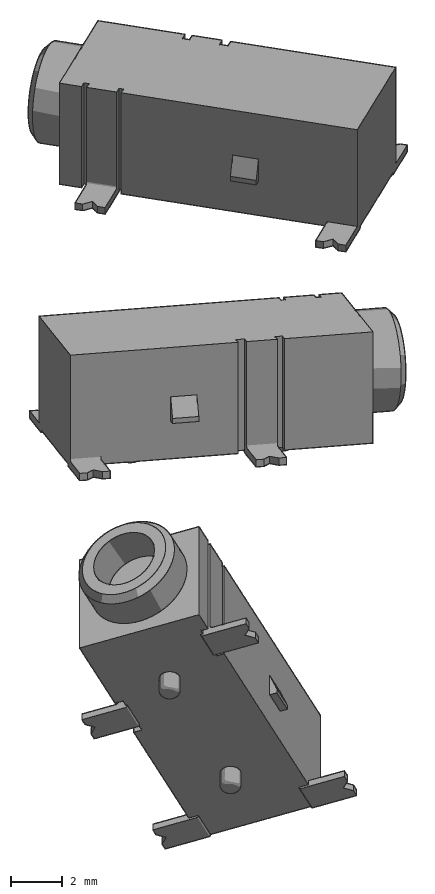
import cadquery as cq

total_length = 13.5
sleeve_length = 1.5
body_width = 5.0
body_height = 4.51
side_y = body_width / 2

sleeve_diameter = 4.0
sleeve_chamfer = 0.25
bore_diameter = 2.54
bore_depth = sleeve_length
sleeve_z = body_height - sleeve_diameter / 2

pin_diameter = 0.81
pin_length = 0.8
pin_round = 0.2
pin_positions = (4.5, 10.5)

lead_width = 1.22
lead_thickness = 0.3
lead_drop = 0.1
lead_tip_y = 8.0 / 2
lead_notch = 0.3
lead_overlap = 0.39
lead_inner_bend = 0.11
lead_outer_bend = 0.07
front_lead_x = 2.59
back_lead_x = 5.29
rear_lead_x = total_length - lead_width

front_groove_start = 2.39
front_groove_end = 3.98
front_groove_depth = 0.3
back_groove_start = 5.01
back_groove_end = 6.85
back_groove_depth = 0.34

catch_x = 8.48
catch_width = 1.04
catch_reach = 0.3
catch_top_z = sleeve_z
catch_height = 0.99
catch_lip = 0.2


def block(x_start, x_end, y_start, y_end, z_start, z_end):
    """Box between pairs of limits along each axis."""
    return cq.Workplane("XY").box(
        x_end - x_start, y_end - y_start, z_end - z_start, centered=False
    ).translate((x_start, y_start, z_start))


def on_side(shape, side):
    """Shapes are made on the +Y side; mirror them for side = -1."""
    return shape if side > 0 else shape.mirror("XZ")


def groove(x_start, x_end, depth):
    """Full-height groove in the +Y wall."""
    return block(x_start, x_end, side_y - depth, side_y, 0, body_height)


def lead_foot(x_start):
    """Flat foot with a V-notched tip and a rounded inner lower edge."""
    foot = block(
        x_start, x_start + lead_width,
        side_y - lead_overlap, lead_tip_y,
        -lead_drop, lead_thickness - lead_drop,
    )
    foot = foot.edges("|X and <Y and <Z").fillet(lead_outer_bend)
    middle_x = x_start + lead_width / 2
    notch = (
        cq.Workplane("XY", origin=(0, 0, -lead_drop))
        .moveTo(middle_x - lead_notch, lead_tip_y)
        .lineTo(middle_x, lead_tip_y - lead_notch)
        .lineTo(middle_x + lead_notch, lead_tip_y)
        .close()
        .extrude(lead_thickness)
    )
    return foot.cut(notch)


def lead_bend(x_start):
    """Concave bend between the foot and the housing wall."""
    foot_top = lead_thickness - lead_drop
    bend = block(
        x_start, x_start + lead_width,
        side_y, side_y + lead_inner_bend,
        foot_top, foot_top + lead_inner_bend,
    )
    hollow = (
        cq.Workplane("YZ", origin=(x_start, 0, 0))
        .center(side_y + lead_inner_bend, foot_top + lead_inner_bend)
        .circle(lead_inner_bend)
        .extrude(lead_width)
    )
    return bend.cut(hollow)


def lead_upright(x_start, depth):
    """Upright strip filling the groove depth, flush with the wall."""
    return block(x_start, x_start + lead_width, side_y - depth, side_y, 0, body_height)


def catch():
    """Wedge-shaped side catch with a short vertical lip."""
    bottom_z = catch_top_z - catch_height
    return (
        cq.Workplane("YZ", origin=(catch_x, 0, 0))
        .moveTo(side_y, catch_top_z)
        .lineTo(side_y + catch_reach, bottom_z + catch_lip)
        .lineTo(side_y + catch_reach, bottom_z)
        .lineTo(side_y, bottom_z)
        .close()
        .extrude(catch_width)
    )


def sleeve():
    """Round sleeve with a chamfered tip."""
    return (
        cq.Workplane("YZ", origin=(0, 0, sleeve_z))
        .circle(sleeve_diameter / 2)
        .extrude(sleeve_length)
        .faces("<X")
        .chamfer(sleeve_chamfer)
    )


def bore():
    """Blind plug hole."""
    return (
        cq.Workplane("YZ", origin=(0, 0, sleeve_z))
        .circle(bore_diameter / 2)
        .extrude(bore_depth)
    )


def pin(x):
    """Locating pin with a rounded end."""
    return (
        cq.Workplane("XY", origin=(x, 0, 0))
        .circle(pin_diameter / 2)
        .extrude(-pin_length)
        .faces("<Z")
        .edges()
        .fillet(pin_round)
    )


result = block(sleeve_length, total_length, -side_y, side_y, 0, body_height)
result = result.cut(on_side(groove(front_groove_start, front_groove_end, front_groove_depth), -1))
result = result.cut(on_side(groove(back_groove_start, back_groove_end, back_groove_depth), 1))

result = result.union(sleeve()).cut(bore())

for x_start, side in ((front_lead_x, -1), (back_lead_x, 1), (rear_lead_x, 1), (rear_lead_x, -1)):
    result = result.union(on_side(lead_foot(x_start), side))
for x_start, side in ((front_lead_x, -1), (back_lead_x, 1), (rear_lead_x, 1)):
    result = result.union(on_side(lead_bend(x_start), side))
for x_start, depth, side in (
    (front_lead_x, front_groove_depth, -1),
    (back_lead_x, back_groove_depth, 1),
):
    result = result.union(on_side(lead_upright(x_start, depth), side))

for side in (-1, 1):
    result = result.union(on_side(catch(), side))
for x in pin_positions:
    result = result.union(pin(x))